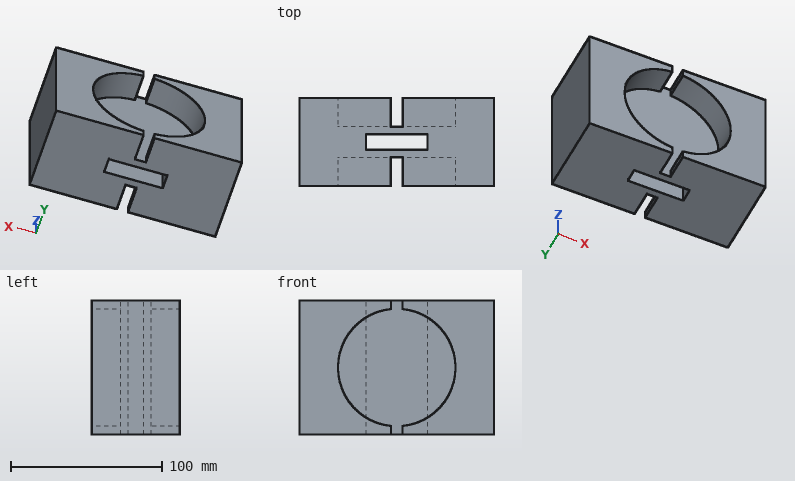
import cadquery as cq

LENGTH = 129.0
DEPTH = 58.42
HEIGHT = 88.9

RECESS_DEPTH = 19.05
POCKET_DIAMETER = 77.8
SLOT_WIDTH = 7.62

WINDOW_LENGTH = 40.64
WINDOW_DEPTH = 10.0


def make_block():
    return cq.Workplane("XY").box(LENGTH, DEPTH, HEIGHT)


def make_window():
    return cq.Workplane("XY").box(WINDOW_LENGTH, WINDOW_DEPTH, HEIGHT)


def front_face_plane():
    return cq.Workplane("XZ", origin=(0, -DEPTH / 2, 0))


def make_front_slot():
    return front_face_plane().rect(SLOT_WIDTH, HEIGHT).extrude(-RECESS_DEPTH)


def make_front_pocket():
    return front_face_plane().circle(POCKET_DIAMETER / 2).extrude(-RECESS_DEPTH)


front_recess = make_front_pocket().union(make_front_slot())
back_recess = front_recess.mirror("XZ")

result = make_block().cut(make_window()).cut(front_recess).cut(back_recess)